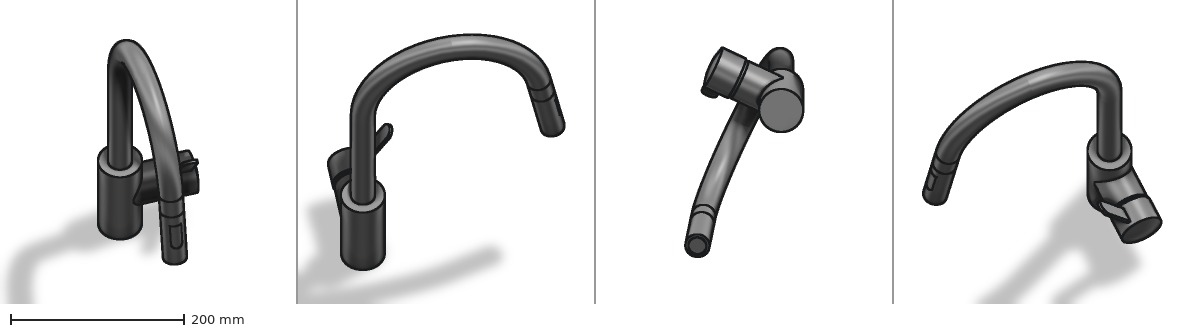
import cadquery as cq
import math

base_diameter = 51.0
base_height = 110.0

branch_diameter = 47.5
branch_axis_height = 61.5
branch_end = 53.5

neck_diameter = 46.5
neck_length = 3.8

knob_diameter = 50.3
knob_length = 30.0
dome_height = 4.0

lever_width = 18.3
lever_thickness = 3.8
lever_tilt = 32.0
lever_reach = 86.5
lever_axis_y = 72.0

tube_diameter = 28.0
bend_radius = 104.0
overall_height = 380.8
outlet_tilt = 10.0

collar_length = 23.2
spray_length = 71.0

aerator_diameter = 21.0
aerator_projection = 1.0
aerator_depth = 3.8

button_width = 13.7
button_length = 33.5
button_depth = 3.8
button_start = 13.7

tube_radius = tube_diameter / 2
tube_straight_top = overall_height - bend_radius - tube_radius
knob_start = branch_end + neck_length
knob_end = knob_start + knob_length
dome_radius = ((knob_diameter / 2) ** 2 + dome_height**2) / (2 * dome_height)
spray_end = collar_length + spray_length
tilt = math.radians(outlet_tilt)
outlet_direction = cq.Vector(math.sin(tilt), 0, -math.cos(tilt))
outlet_side = cq.Vector(math.cos(tilt), 0, math.sin(tilt))
bend_centre = cq.Vector(bend_radius, 0, tube_straight_top)
bend_end = bend_centre + outlet_side * bend_radius


def outlet_plane(distance):
    """Plane across the outlet axis, its normal pointing along the water flow."""
    return cq.Plane(
        origin=(bend_end + outlet_direction * distance).toTuple(),
        xDir=outlet_side.toTuple(),
        normal=outlet_direction.toTuple(),
    )


def cross_plane(distance):
    """Plane across the branch axis, its normal pointing along +Y."""
    return cq.Plane(origin=(0, distance, branch_axis_height), xDir=(1, 0, 0), normal=(0, 1, 0))


def make_base():
    """Upright column with the side branch and its narrower neck."""
    column = cq.Workplane("XY").circle(base_diameter / 2).extrude(base_height)
    branch = cq.Workplane(cross_plane(0)).circle(branch_diameter / 2).extrude(branch_end)
    neck = cq.Workplane(cross_plane(branch_end)).circle(neck_diameter / 2).extrude(neck_length)
    return column.union(branch).union(neck)


def make_lever():
    """Flat bar leaning from the knob axis toward +X, with a round tip."""
    lean = math.radians(lever_tilt)
    lever_plane = cq.Plane(
        origin=(0, lever_axis_y, branch_axis_height),
        xDir=(0, -1, 0),
        normal=(-math.cos(lean), 0, math.sin(lean)),
    )
    half_width = lever_width / 2
    shoulder = lever_reach - half_width
    return (
        cq.Workplane(lever_plane)
        .moveTo(-half_width, 0)
        .lineTo(half_width, 0)
        .lineTo(half_width, shoulder)
        .threePointArc((0, lever_reach), (-half_width, shoulder))
        .close()
        .extrude(lever_thickness / 2, both=True)
    )


def make_handle():
    """Round knob with a domed end, in one piece with its lever."""
    knob = cq.Workplane(cross_plane(knob_start)).circle(knob_diameter / 2).extrude(knob_length)
    dome = (
        cq.Workplane("XY", origin=(0, knob_end, branch_axis_height))
        .lineTo(knob_diameter / 2, 0)
        .radiusArc((0, dome_height), -dome_radius)
        .close()
        .revolve(360, (0, 0, 0), (0, 1, 0))
    )
    return knob.union(dome).union(make_lever())


def make_tube():
    """Straight riser, then a bend over the top and down to the outlet."""
    crown = bend_centre + cq.Vector(0, 0, bend_radius)
    path = (
        cq.Workplane("XZ")
        .moveTo(0, base_height)
        .lineTo(0, tube_straight_top)
        .tangentArcPoint((crown.x, crown.z), relative=False)
        .tangentArcPoint((bend_end.x, bend_end.z), relative=False)
    )
    section_plane = cq.Plane(origin=(0, 0, base_height), xDir=(-1, 0, 0), normal=(0, 0, 1))
    return cq.Workplane(section_plane).circle(tube_radius).sweep(path)


def outlet_cylinder(start, length, diameter):
    """Round bar on the outlet axis, starting at a distance from the end of the bend."""
    return cq.Workplane(outlet_plane(start)).circle(diameter / 2).extrude(length)


def make_button(spray_blank):
    """D-shaped button, square at the collar end and flush with the round spray head."""
    near_end = bend_end + outlet_direction * (collar_length + button_start)
    button_plane = cq.Plane(
        origin=(near_end + outlet_side * (tube_radius - button_depth)).toTuple(),
        xDir=outlet_direction.toTuple(),
        normal=outlet_side.toTuple(),
    )
    half_width = button_width / 2
    shoulder = button_length - half_width
    block = (
        cq.Workplane(button_plane)
        .moveTo(0, -half_width)
        .lineTo(shoulder, -half_width)
        .threePointArc((button_length, 0), (shoulder, half_width))
        .lineTo(0, half_width)
        .close()
        .extrude(tube_radius)
    )
    return block.intersect(spray_blank)


base = make_base()
handle = make_handle()
tube = make_tube()
collar = outlet_cylinder(0, collar_length, tube_diameter)
spray_blank = outlet_cylinder(collar_length, spray_length, tube_diameter)
button = make_button(spray_blank)
aerator = outlet_cylinder(spray_end - aerator_depth, aerator_depth + aerator_projection, aerator_diameter)
spray_head = spray_blank.cut(button).cut(aerator)

result = cq.Compound.makeCompound(
    [
        base.val(),
        handle.val(),
        tube.val(),
        collar.val(),
        spray_head.val(),
        button.val(),
        aerator.val(),
    ]
)